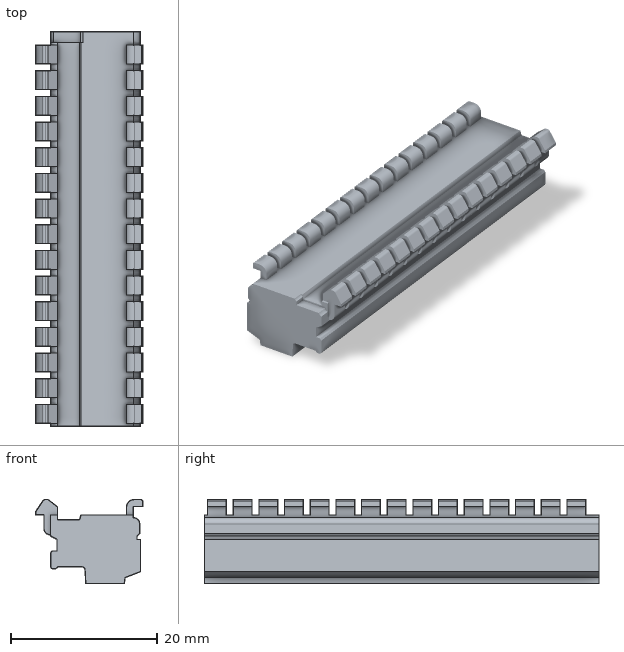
import cadquery as cq
import math

length = 54.0
height = 11.5
width = 14.7

deck_z = 9.4
left_wall_x = 2.05
lip_right_x = 3.0
channel_floor_z = 8.75
channel_right_x = 6.0
channel_lean = 0.2
right_wall_x = 13.4
shoulder_x = 14.25
shoulder_top_z = 9.0
shoulder_radius = shoulder_x - right_wall_x
skirt_x = 14.35
skirt_top_z = 6.05
skirt_bottom_z = 1.6
step_x = 13.9
step_top_z = 6.5
shoulder_bottom_z = 6.85
foot_left_x = 6.75
foot_right_x = 12.15
foot_draft = 0.1
foot_right_top_z = 0.8
foot_left_top_z = 1.9
underside_z = 2.25
groove_back_x = 2.9
groove_back_top_z = 6.05
groove_mouth_top_z = 6.5
rib_top_z = 4.5
rib_bottom_z = 2.0
rib_chamfer_x = 0.2
rib_chamfer_z = 0.25

relief_length = 1.5
relief_floor_z = 8.5
relief_right_x = 6.15
relief_left_edge = 0.45
relief_right_edge = 0.3
relief_bulge = 0.05

hook_count = 15
hook_width = 2.6
hook_pitch = 3.5
last_hook_gap = 1.85
hook_thickness = 0.95
hook_left_stem_x = left_wall_x - 0.9
hook_curl_radius = 1.1
hook_tip_chamfer = 0.2
barb_nose_z = 9.85
barb_shoulder_z = 10.5
stem_curve_z = 7.55
stem_end_z = 6.65


def arc_mid(center_x, center_z, radius, degrees):
    """Point on a circle, used as the middle point of an arc."""
    angle = math.radians(degrees)
    return (center_x + radius * math.cos(angle), center_z + radius * math.sin(angle))


def extrude_section(wire, y_start, depth):
    """Extrude a closed XZ section from y_start toward +Y."""
    return wire.extrude(-depth).translate((0, y_start, 0))


def make_body():
    wire = (
        cq.Workplane("XZ")
        .moveTo(left_wall_x, deck_z)
        .lineTo(lip_right_x, deck_z)
        .lineTo(lip_right_x, channel_floor_z)
        .lineTo(channel_right_x, channel_floor_z)
        .lineTo(channel_right_x + channel_lean, deck_z)
        .lineTo(right_wall_x, deck_z)
        .lineTo(right_wall_x, shoulder_top_z)
        .threePointArc(
            arc_mid(right_wall_x, shoulder_top_z - shoulder_radius, shoulder_radius, 45),
            (shoulder_x, shoulder_top_z - shoulder_radius),
        )
        .lineTo(shoulder_x, shoulder_bottom_z)
        .lineTo(step_x, step_top_z)
        .lineTo(step_x, skirt_top_z)
        .lineTo(skirt_x, skirt_top_z)
        .lineTo(skirt_x, skirt_bottom_z)
        .lineTo(foot_right_x + foot_draft, foot_right_top_z)
        .lineTo(foot_right_x, 0)
        .lineTo(foot_left_x + foot_draft, 0)
        .lineTo(foot_left_x, foot_left_top_z)
        .threePointArc((6.65, 2.15), (6.35, underside_z))
        .lineTo(3.0, underside_z)
        .lineTo(2.75, rib_bottom_z)
        .lineTo(2.45, rib_bottom_z)
        .threePointArc((2.15, 2.1), (left_wall_x, 2.4))
        .lineTo(left_wall_x, rib_top_z - rib_chamfer_z)
        .lineTo(left_wall_x + rib_chamfer_x, rib_top_z)
        .lineTo(groove_back_x, rib_top_z)
        .lineTo(groove_back_x, groove_back_top_z)
        .lineTo(left_wall_x, groove_mouth_top_z)
        .close()
    )
    return extrude_section(wire, 0, length)


def make_end_relief():
    """Corner removed at the far end, with shallow rounded edges left and right."""
    lower_x = left_wall_x + relief_left_edge
    upper_x = relief_right_x + relief_right_edge
    wire = (
        cq.Workplane("XZ")
        .moveTo(left_wall_x, relief_floor_z - relief_left_edge)
        .sagittaArc((lower_x, relief_floor_z), -relief_bulge)
        .lineTo(relief_right_x, relief_floor_z)
        .lineTo(relief_right_x, deck_z - relief_right_edge)
        .sagittaArc((upper_x, deck_z), -relief_bulge)
        .lineTo(upper_x, height)
        .lineTo(left_wall_x, height)
        .close()
    )
    return extrude_section(wire, length - relief_length, relief_length)


def make_left_hook(y_start):
    """Barbed hook standing on the lip and running down the left wall."""
    wire = (
        cq.Workplane("XZ")
        .moveTo(0, deck_z)
        .lineTo(0, barb_nose_z)
        .lineTo(0.95, 11.3)
        .threePointArc((1.15, 11.45), (1.35, height))
        .lineTo(1.75, height)
        .lineTo(lip_right_x, barb_shoulder_z)
        .lineTo(lip_right_x, deck_z)
        .lineTo(left_wall_x, deck_z)
        .lineTo(left_wall_x, stem_end_z)
        .threePointArc((1.4, 6.9), (hook_left_stem_x, stem_curve_z))
        .lineTo(hook_left_stem_x, deck_z)
        .close()
    )
    return extrude_section(wire, y_start, hook_width)


def make_right_hook(y_start):
    """Hook rising from the deck and curling outward."""
    stem_x = right_wall_x - hook_thickness
    radius = hook_curl_radius
    wire = (
        cq.Workplane("XZ")
        .moveTo(stem_x, deck_z)
        .lineTo(stem_x, height - radius)
        .threePointArc(
            arc_mid(stem_x + radius, height - radius, radius, 135),
            (stem_x + radius, height),
        )
        .lineTo(width - hook_tip_chamfer, height)
        .lineTo(width, height - hook_tip_chamfer)
        .lineTo(width, height - hook_thickness)
        .lineTo(right_wall_x, height - hook_thickness)
        .lineTo(right_wall_x, deck_z)
        .close()
    )
    return extrude_section(wire, y_start, hook_width)


result = make_body().cut(make_end_relief())
for index in range(hook_count):
    hook_y = length - last_hook_gap - hook_width - index * hook_pitch
    result = result.union(make_left_hook(hook_y))
    result = result.union(make_right_hook(hook_y))